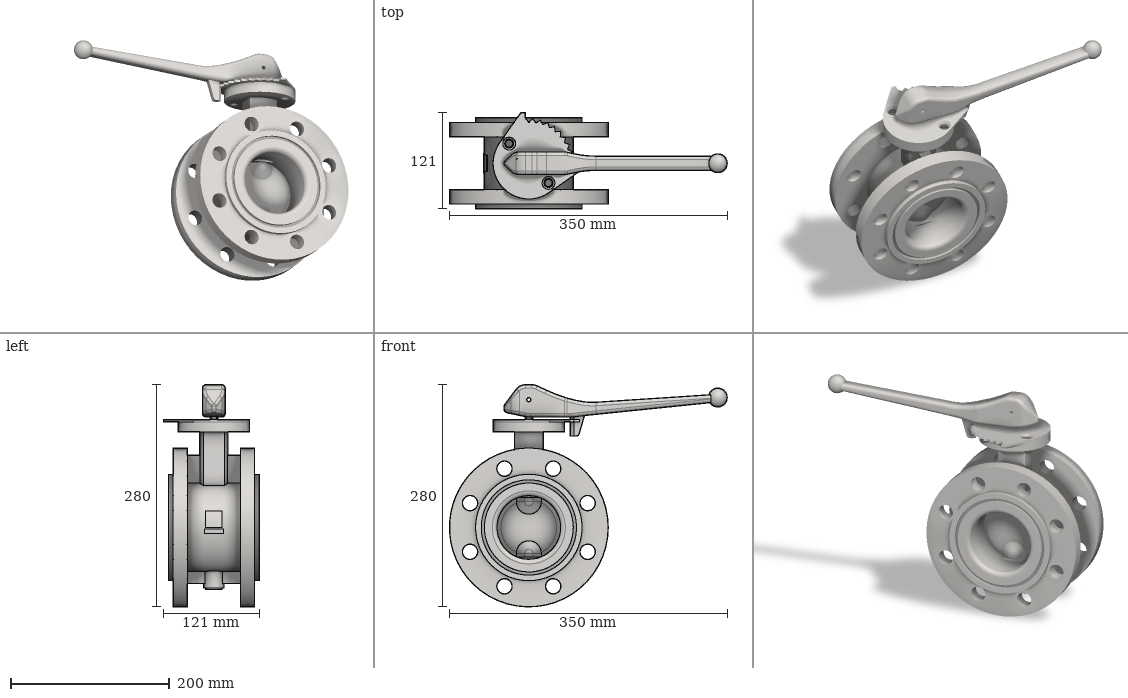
import cadquery as cq
import math

flange_radius = 200.0 / 2
flange_inner_y = 33.2
flange_outer_y = 51.5
pipe_radius = 112.3 / 2
bore_radius = 80.0 / 2
bore_mouth_round = 6.0
face_radius = 134.0 / 2
face_y = 57.5
groove_outer_radius = 120.0 / 2
groove_inner_radius = 112 / 2
groove_depth = 4.2
bolt_count = 8
bolt_hole_diameter = 19.0
bolt_circle_radius = 80.0

neck_half_x = 18.2
neck_side_half_y = 13.12
neck_half_y = 18.02
rib_half_x = 7
upper_rib_top_z = 91
lower_rib_bottom_z = -70.7
boss_radius = 26.0 / 2
boss_bottom_z = -76.3
boss_tip_radius = 21 / 2
boss_tip_z = -78.5

pad_radius = pipe_radius + 0.87
square_pad_side = 20.5
square_pad_bottom_z = 0
bar_pad_length = 24.0
bar_pad_height = 5.2
bar_pad_bottom_z = -7.5

disc_face_radius = 35
disc_half_thickness = 5.0
disc_rim_half_thickness = 4.0
hub_radius = 15.7
hub_peak_y = 14
hub_crest_half_width = 5.2
hub_center_z = 32.5
hub_end_z = 37.5
landing_half_y = 16.0

mount_radius = 90.0 / 2
mount_bottom_z = 120.5
mount_top_z = 133
plate_top_z = 135.8
tooth_pitch = 10
tooth_count = 9
tooth_tip_radius = 56.5
tooth_root_radius = 51.8
stop_near = 4.37
stop_far = 10.0
stop_height = 121.0 - face_y
screw_radius_from_axis = 35
screw_angles = (135, -45)
screw_hole_diameter = 9.0
screw_seat_diameter = 11.2
screw_sink_diameter = 16.0
screw_sink_depth = 3.0
screw_seat_depth = 10.5
stem_width = 10.0
stem_corner = 2.0
stem_top_z = 145.2

lever_bottom_z = 139.0
lever_top_z = 280 - flange_radius
lever_round = 4.5
nose_round = 3.5
lever_bend = 15.0
keel_bend = 35
nose_x = -33.0
nose_top_z = 151.5
nose_bottom_z = 145.5
grip_start_top_z = 157.8
lever_half_width = 14.5
grip_half_width = 9.0
grip_start_x = 84.7
grip_end_x = 229.2
grip_end_bottom_z = 157.0
grip_end_top_z = 167.3
knob_radius = 12.0
knob_x = 350 - flange_radius - knob_radius
knob_z = 163.6
pin_hole_diameter = 5.0
pin_hole_z = 161
latch_half_width = 4.2
latch_tip_length = 4.5
latch_gap = 0.5
latch_bottom_z = 115.0
latch_top_z = 145.2
latch_foot_x = 62.5
latch_back_x = 71.5
latch_foot_round = 3.5


def y_cylinder(radius, y_from, y_to):
    return cq.Workplane("XZ", origin=(0, y_from, 0)).circle(radius).extrude(y_from - y_to)


def z_cylinder(radius, z_from, z_to):
    return cq.Workplane("XY", origin=(0, 0, z_from)).circle(radius).extrude(z_to - z_from)


def box(x_from, x_to, y_from, y_to, z_from, z_to):
    size = (x_to - x_from, y_to - y_from, z_to - z_from)
    return cq.Workplane("XY", origin=(x_from, y_from, z_from)).box(*size, centered=False)


def polar(radius, degrees):
    angle = math.radians(degrees)
    return (radius * math.cos(angle), radius * math.sin(angle))


def both_ends(feature):
    """The feature together with its mirror image across the XZ plane."""
    return feature.union(feature.mirror("XZ"))


def make_neck():
    return (
        cq.Workplane("XY")
        .moveTo(-neck_half_x, -neck_side_half_y)
        .threePointArc((0, -neck_half_y), (neck_half_x, -neck_side_half_y))
        .lineTo(neck_half_x, neck_side_half_y)
        .threePointArc((0, neck_half_y), (-neck_half_x, neck_side_half_y))
        .close()
        .extrude(mount_bottom_z)
    )


def make_flange():
    flange = y_cylinder(flange_radius, -flange_outer_y, -flange_inner_y)
    flange = flange.union(y_cylinder(face_radius, -face_y, -flange_inner_y))
    groove = y_cylinder(groove_outer_radius, -face_y, -face_y + groove_depth).cut(
        y_cylinder(groove_inner_radius, -face_y, -face_y + groove_depth)
    )
    bolt_holes = (
        cq.Workplane("XZ", origin=(0, -flange_inner_y, 0))
        .polarArray(bolt_circle_radius, 180 / bolt_count, 360, bolt_count)
        .circle(bolt_hole_diameter / 2)
        .extrude(flange_outer_y - flange_inner_y)
    )
    return flange.cut(groove).cut(bolt_holes)


def make_pads():
    square = box(
        -pad_radius, 0, -square_pad_side / 2, square_pad_side / 2,
        square_pad_bottom_z, square_pad_bottom_z + square_pad_side,
    )
    bar = box(
        -pad_radius, 0, -bar_pad_length / 2, bar_pad_length / 2,
        bar_pad_bottom_z, bar_pad_bottom_z + bar_pad_height,
    )
    limit = y_cylinder(pad_radius, -flange_inner_y, flange_inner_y)
    return square.union(bar).intersect(limit)


def make_bore():
    """Bore with rounded mouths, as a solid of revolution about Y."""
    mouth_y = face_y - bore_mouth_round
    mouth_radius = bore_radius + bore_mouth_round
    bend = bore_mouth_round * (1 - math.sqrt(0.5))
    return (
        cq.Workplane("XY")
        .moveTo(0, -face_y)
        .lineTo(mouth_radius, -face_y)
        .threePointArc((bore_radius + bend, -face_y + bend), (bore_radius, -mouth_y))
        .lineTo(bore_radius, mouth_y)
        .threePointArc((bore_radius + bend, face_y - bend), (mouth_radius, face_y))
        .lineTo(0, face_y)
        .close()
        .revolve(360, (0, 0, 0), (0, 1, 0))
    )


def make_bore_flats():
    """Flat landings at the top and bottom of the bore, around the hub ends."""
    landing = box(-bore_radius, bore_radius, -landing_half_y, landing_half_y, hub_end_z, bore_radius)
    upper = landing.intersect(y_cylinder(bore_radius, -face_y, face_y))
    return (upper, upper.mirror("XY"))


def hub_outline():
    """Half section of a hub: a sloped flank that ends in a blunt round crest."""
    slope = math.atan2(hub_peak_y - disc_half_thickness, hub_radius)
    crest_edge_y = hub_peak_y - hub_crest_half_width * math.tan(slope)
    crest_radius = math.hypot(hub_crest_half_width, crest_edge_y)
    half_angle = math.atan2(hub_crest_half_width, crest_edge_y) / 2
    crest_middle = (crest_radius * math.sin(half_angle), -crest_radius * math.cos(half_angle))
    return (
        cq.Workplane("XY", origin=(0, 0, hub_center_z))
        .lineTo(hub_radius, 0)
        .lineTo(hub_radius, -disc_half_thickness)
        .lineTo(hub_crest_half_width, -crest_edge_y)
        .threePointArc(crest_middle, (0, -crest_radius))
        .close()
    )


def make_hub():
    """Upper hub on the -Y face of the disc: a ridge along Z that ends in half a blunt cone."""
    cone = hub_outline().revolve(360, (0, 0, 0), (0, 1, 0))
    half_ridge = hub_outline().extrude(hub_end_z - hub_center_z)
    below_end = box(-hub_radius, hub_radius, -hub_peak_y, 0, 0, hub_end_z)
    return cone.intersect(below_end).union(half_ridge).union(half_ridge.mirror("YZ"))


def make_disc():
    disc = (
        cq.Workplane("XY")
        .polyline([
            (0, -disc_half_thickness), (disc_face_radius, -disc_half_thickness),
            (bore_radius, -disc_rim_half_thickness), (bore_radius, disc_rim_half_thickness),
            (disc_face_radius, disc_half_thickness), (0, disc_half_thickness),
        ])
        .close()
        .revolve(360, (0, 0, 0), (0, 1, 0))
    )
    upper_hub = make_hub().intersect(y_cylinder(bore_radius, -face_y, face_y))
    lower_hub = upper_hub.mirror("XY")
    for hub in (upper_hub, lower_hub):
        disc = disc.union(hub).union(hub.mirror("XZ"))
    return disc


def make_toothed_plate():
    """Plate with a notched quarter, symmetric about the 45 degree line."""
    start = (-stop_far, stop_height)
    reach = math.hypot(*start)
    tangent_angle = math.degrees(math.atan2(start[1], start[0]) + math.acos(mount_radius / reach))
    flank_end = polar(mount_radius, tangent_angle)
    back = polar(mount_radius, 225)
    outline = (
        cq.Workplane("XY", origin=(0, 0, mount_top_z))
        .moveTo(flank_end[1], flank_end[0])
        .threePointArc(back, flank_end)
        .lineTo(*start)
        .lineTo(-stop_near, stop_height)
        .lineTo(-stop_near, tooth_tip_radius)
        .lineTo(0, tooth_root_radius)
    )
    for tooth in range(tooth_count):
        root_angle = 90 - tooth * tooth_pitch
        outline = outline.lineTo(*polar(tooth_tip_radius, root_angle - tooth_pitch / 2))
        outline = outline.lineTo(*polar(tooth_root_radius, root_angle - tooth_pitch))
    return (
        outline.lineTo(tooth_tip_radius, -stop_near)
        .lineTo(stop_height, -stop_near)
        .lineTo(stop_height, -stop_far)
        .close()
        .extrude(plate_top_z - mount_top_z)
    )


def make_screw_hole(degrees):
    seat_z = plate_top_z - screw_seat_depth
    profile = [
        (0, mount_bottom_z),
        (screw_hole_diameter / 2, mount_bottom_z),
        (screw_hole_diameter / 2, seat_z),
        (screw_seat_diameter / 2, seat_z),
        (screw_seat_diameter / 2, plate_top_z - screw_sink_depth),
        (screw_sink_diameter / 2, plate_top_z),
        (0, plate_top_z),
    ]
    x, y = polar(screw_radius_from_axis, degrees)
    hole = cq.Workplane("XZ").polyline(profile).close().revolve(360, (0, 0, 0), (0, 1, 0))
    return hole.translate((x, y, 0))


def make_stem():
    return (
        cq.Workplane("XY", origin=(0, 0, mount_top_z))
        .rect(stem_width, stem_width)
        .extrude(stem_top_z - mount_top_z)
        .edges("|Z")
        .chamfer(stem_corner)
    )


def make_valve():
    valve = y_cylinder(pipe_radius, -flange_inner_y, flange_inner_y)
    valve = valve.union(make_neck())
    valve = valve.union(
        box(-rib_half_x, rib_half_x, -flange_inner_y, flange_inner_y, lower_rib_bottom_z, upper_rib_top_z)
    )
    valve = valve.union(z_cylinder(boss_radius, boss_bottom_z, 0))
    valve = valve.union(z_cylinder(boss_tip_radius, boss_tip_z, 0))
    valve = valve.union(make_pads())
    valve = valve.union(both_ends(make_flange()))
    valve = valve.cut(make_bore())
    valve = valve.union(make_disc())
    for landing in make_bore_flats():
        valve = valve.union(landing)
    valve = valve.union(z_cylinder(mount_radius, mount_bottom_z, mount_top_z))
    valve = valve.union(make_toothed_plate())
    for degrees in screw_angles:
        valve = valve.cut(make_screw_hole(degrees))
    return valve.union(make_stem())


def make_lever_arm():
    """Side outline of the lever crossed with its plan outline."""
    side = (
        cq.Workplane("XZ", origin=(0, lever_half_width, 0))
        .moveTo(nose_x, nose_top_z)
        .lineTo(-11.5, lever_top_z)
        .lineTo(7.5, lever_top_z)
        .lineTo(22.5, 173.0)
        .spline(
            [(48.0, 163.0), (grip_start_x, grip_start_top_z)],
            tangents=[(4.3, -2), (15, 1)],
            includeCurrent=True,
        )
        .lineTo(grip_end_x, grip_end_top_z)
        .lineTo(grip_end_x, grip_end_bottom_z)
        .lineTo(51.8, lever_bottom_z)
        .lineTo(-1.7, lever_bottom_z)
        .lineTo(nose_x, nose_bottom_z)
        .close()
        .extrude(2 * lever_half_width)
    )
    side = side.edges(cq.selectors.BoxSelector((-14, -31.5, 178.5), (10.5, 31.5, 182))).edges("|Y").fillet(lever_bend)
    side = side.edges("|Y").edges(cq.selectors.BoxSelector((-7, -31.5, 136.5), (56, 31.5, 140))).fillet(keel_bend)
    plan = (
        cq.Workplane("XY", origin=(0, 0, lever_bottom_z))
        .moveTo(nose_x, 0)
        .lineTo(-18.0, lever_half_width)
        .lineTo(46.5, lever_half_width)
        .spline(
            [(grip_start_x, grip_half_width)],
            tangents=[(4, -1), (1, 0)],
            includeCurrent=True,
        )
        .lineTo(grip_end_x, grip_half_width)
        .lineTo(grip_end_x, 0)
        .close()
        .extrude(lever_top_z - lever_bottom_z)
    )
    plan = plan.union(plan.mirror("XZ"))
    plan = plan.edges("|Z").edges(cq.selectors.BoxSelector((-21, -31.5, 0), (49, 31.5, 346.5))).fillet(lever_bend)
    return side.intersect(plan)


def flank_edges(solid, x_from, x_to, z_from, z_to):
    """Edges along the top or bottom of the two straight lever flanks."""
    edges = cq.Workplane("XY")
    for side in (-1, 1):
        y = side * lever_half_width
        corners = ((x_from, y - 0.5, z_from), (x_to, y + 0.5, z_to))
        edges = edges.add(solid.edges(cq.selectors.BoxSelector(*corners)).vals())
    return edges.vals()


def round_lever_arm(arm):
    """Round the nose tip, then the tangent chains along the top and along the bottom."""
    near_tip = cq.selectors.BoxSelector((nose_x - 0.5, -0.5, nose_bottom_z), (nose_x + 0.5, 0.5, nose_top_z))
    arm = arm.edges(near_tip).fillet(nose_round)
    crown = flank_edges(arm, -3.5, 3.5, lever_top_z - 0.5, lever_top_z + 0.5)
    arm = arm.newObject([arm.val().fillet(lever_round, crown)])
    keel = flank_edges(arm, 3.5, 42, lever_bottom_z - 0.5, lever_bottom_z + 0.5)
    return arm.newObject([arm.val().fillet(lever_round, keel)])


def make_latch():
    """Prong that hangs under the lever and points into the last notch of the plate."""
    tip_x = tooth_root_radius + latch_gap
    plan = (
        cq.Workplane("XY", origin=(0, 0, latch_bottom_z))
        .polyline([
            (tip_x, 0), (tip_x + latch_tip_length, -latch_half_width),
            (latch_back_x, -latch_half_width), (latch_back_x, latch_half_width),
            (tip_x + latch_tip_length, latch_half_width),
        ])
        .close()
        .extrude(latch_top_z - latch_bottom_z)
    )
    side = (
        cq.Workplane("XZ", origin=(0, latch_half_width, 0))
        .polyline([
            (tip_x, latch_bottom_z), (latch_foot_x, latch_bottom_z),
            (latch_back_x, latch_top_z), (tip_x, latch_top_z),
        ])
        .close()
        .extrude(2 * latch_half_width)
    )
    side = side.edges("|Y").edges("<Z").edges(">X").fillet(latch_foot_round)
    return plan.intersect(side)


def make_lever():
    lever = round_lever_arm(make_lever_arm())
    lever = lever.union(make_latch())
    knob = cq.Workplane("XY").sphere(knob_radius).translate((knob_x, 0, knob_z))
    lever = lever.union(knob)
    pin_hole = (
        cq.Workplane("XZ", origin=(0, lever_half_width, pin_hole_z))
        .circle(pin_hole_diameter / 2)
        .extrude(2 * lever_half_width)
    )
    return lever.cut(pin_hole).cut(make_stem())


valve = make_valve()
lever = make_lever()
result = cq.Compound.makeCompound([valve.val(), lever.val()])